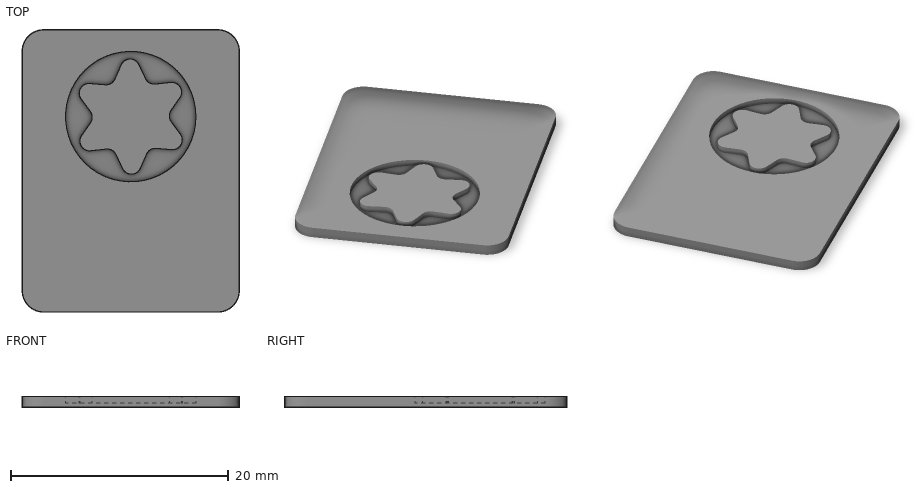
import cadquery as cq
import math

plate_width = 20.0
plate_length = 26.0
plate_thickness = 1.0
corner_radius = 2.0

pocket_diameter = 12.0
pocket_depth = 0.6
pocket_center_y = 5.0

lobe_count = 6
star_tip_radius = 5.3
star_valley_radius = 3.55
tip_rounding = 0.9
valley_rounding = 0.9
star_rotation = 0.8


def polar(radius, angle):
    return (radius * math.cos(angle), radius * math.sin(angle))


def star_outline():
    """Closed wire of lobe and valley arcs joined by tangent straight flanks."""
    half_pitch = math.pi / lobe_count
    tip_center_radius = star_tip_radius - tip_rounding
    valley_center_radius = star_valley_radius + valley_rounding

    valley_x, valley_y = polar(valley_center_radius, half_pitch)
    offset_x = valley_x - tip_center_radius
    center_distance = math.hypot(offset_x, valley_y)
    tangent_angle = math.acos((tip_rounding + valley_rounding) / center_distance)
    normal_angle = math.atan2(valley_y, offset_x) - tangent_angle
    normal_x, normal_y = polar(1.0, normal_angle)

    tip_end_x = tip_center_radius + tip_rounding * normal_x
    tip_end_y = tip_rounding * normal_y
    tip_end_radius = math.hypot(tip_end_x, tip_end_y)
    tip_end_angle = math.atan2(tip_end_y, tip_end_x)

    flank_end_x = valley_x - valley_rounding * normal_x
    flank_end_y = valley_y - valley_rounding * normal_y
    flank_end_radius = math.hypot(flank_end_x, flank_end_y)
    flank_end_angle = math.atan2(flank_end_y, flank_end_x)

    first_lobe = math.pi / 2 + math.radians(star_rotation)
    outline = cq.Workplane("XY").moveTo(*polar(tip_end_radius, first_lobe - tip_end_angle))
    for index in range(lobe_count):
        lobe = first_lobe + 2 * half_pitch * index
        valley = lobe + half_pitch
        next_lobe = valley + half_pitch
        outline = (
            outline.threePointArc(
                polar(star_tip_radius, lobe),
                polar(tip_end_radius, lobe + tip_end_angle),
            )
            .lineTo(*polar(flank_end_radius, lobe + flank_end_angle))
            .threePointArc(
                polar(star_valley_radius, valley),
                polar(flank_end_radius, next_lobe - flank_end_angle),
            )
            .lineTo(*polar(tip_end_radius, next_lobe - tip_end_angle))
        )
    return outline.close()


def plate():
    """Rectangular plate with rounded corners, its underside on Z = 0."""
    blank = cq.Workplane("XY").rect(plate_width, plate_length).extrude(plate_thickness)
    return blank.edges("|Z").fillet(corner_radius)


def pocket_around_star():
    """Volume removed from the plate: a round pocket less the star."""
    disc = cq.Workplane("XY").circle(pocket_diameter / 2).extrude(pocket_depth)
    star = star_outline().extrude(pocket_depth)
    return disc.cut(star).translate((0, pocket_center_y, plate_thickness - pocket_depth))


result = plate().cut(pocket_around_star())